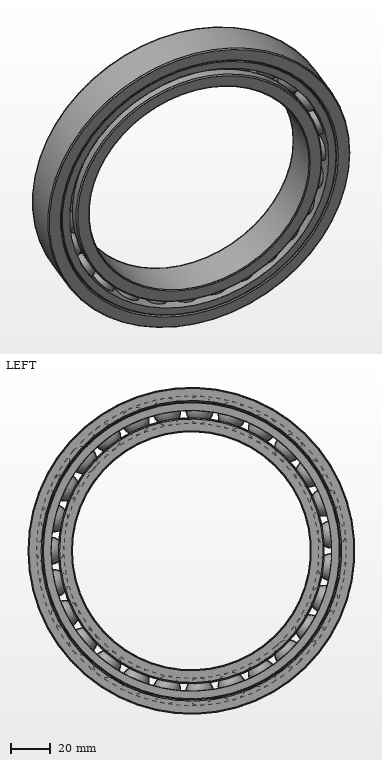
import cadquery as cq

WIDTH = 22.0
OUTER_RADIUS = 82.5
BORE_RADIUS = 60.0

OUTER_RING_BORE = 75.2
OUTER_RIM_CHAMFER = (0.8, 0.5)
OUTER_BORE_CHAMFER = (0.7, 0.7)

INNER_RING_LAND = 67.2
INNER_LAND_CHAMFER = (0.7, 0.7)
INNER_BORE_CHAMFER = (0.5, 0.5)

BALL_COUNT = 27
BALL_RADIUS = 7.0
PITCH_RADIUS = (OUTER_RADIUS + BORE_RADIUS) / 2

CAGE_CLEARANCE = 0.5
CAGE_INNER = 70.8
CAGE_OUTER = OUTER_RING_BORE - CAGE_CLEARANCE
CAGE_WIDTH = 21.3


def chamfered_ring(inner, outer, inner_chamfer, outer_chamfer):
    """Full-width ring, chamfered at both ends; a chamfer is a pair (axial length, radial depth)."""
    inner_length, inner_depth = inner_chamfer
    outer_length, outer_depth = outer_chamfer
    profile = [
        (0, inner + inner_depth),
        (inner_length, inner),
        (WIDTH - inner_length, inner),
        (WIDTH, inner + inner_depth),
        (WIDTH, outer - outer_depth),
        (WIDTH - outer_length, outer),
        (outer_length, outer),
        (0, outer - outer_depth),
    ]
    return cq.Workplane("XY").polyline(profile).close().revolve(360, (0, 0, 0), (1, 0, 0))


def raceway():
    """Torus swept by a ball on its way around the bearing, cut from both rings."""
    return (
        cq.Workplane("XY")
        .center(WIDTH / 2, PITCH_RADIUS)
        .circle(BALL_RADIUS)
        .revolve(360, (-WIDTH / 2, -PITCH_RADIUS, 0), (WIDTH / 2, -PITCH_RADIUS, 0))
    )


def make_outer_ring():
    """Outer ring with a ball groove around its bore."""
    blank = chamfered_ring(OUTER_RING_BORE, OUTER_RADIUS, OUTER_BORE_CHAMFER, OUTER_RIM_CHAMFER)
    return blank.cut(raceway())


def make_inner_ring():
    """Inner ring with a ball groove around its outer side."""
    blank = chamfered_ring(BORE_RADIUS, INNER_RING_LAND, INNER_BORE_CHAMFER, INNER_LAND_CHAMFER)
    return blank.cut(raceway())


def make_ball_cage():
    """Cage with its balls as one solid; the first ball sits on the +Y side."""
    cage = (
        cq.Workplane("YZ", origin=((WIDTH - CAGE_WIDTH) / 2, 0, 0))
        .circle(CAGE_OUTER)
        .circle(CAGE_INNER)
        .extrude(CAGE_WIDTH)
    )
    first_ball = cq.Workplane("ZX", origin=(WIDTH / 2, PITCH_RADIUS, 0)).sphere(BALL_RADIUS)
    for index in range(BALL_COUNT):
        angle = 360 * index / BALL_COUNT
        cage = cage.union(first_ball.rotate((0, 0, 0), (1, 0, 0), angle))
    return cage


outer_ring = make_outer_ring()
inner_ring = make_inner_ring()
ball_cage = make_ball_cage()

result = cq.Compound.makeCompound([outer_ring.val(), inner_ring.val(), ball_cage.val()])